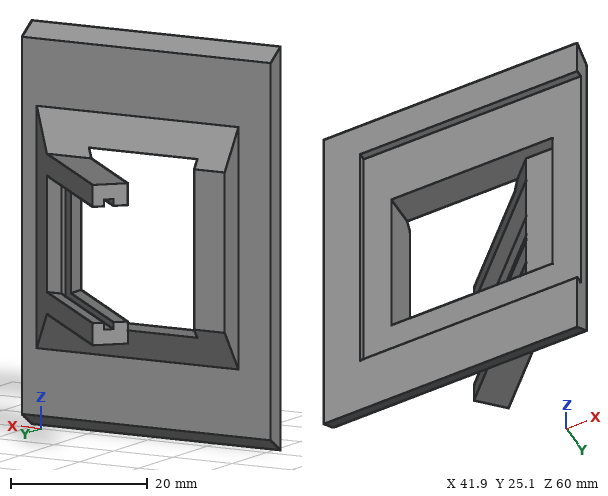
import cadquery as cq

plate_width = 41.9
plate_height = 60
plate_thickness = 3
bevel_height = 2.0
middle_z = plate_height / 2

recess_left = 6
recess_bottom = 10.5
recess_top = 54
recess_depth = 1.15

total_depth = 25.15
block_left = 5.4
block_back = 7.0
block_base_height = 36
block_crest_height = 23.8

window_left = 10.55
window_right = 37.2
window_height = 26.5

arm_outer_sum = 42.35
arm_inner_sum = 34.85
arm_outer_span = block_crest_height
arm_inner_span = 17.3
arm_tip_step = (arm_outer_sum - arm_inner_sum) / 2

slot_inner_sum = 37.9
slot_outer_sum = 39.9
groove_depth = 1.0
slot_span = arm_inner_span + 2 * groove_depth
slot_floor = 4.0


def z_prism(points, height):
    """Extrude an XY outline symmetrically about the middle height."""
    return cq.Workplane("XY").workplane(offset=middle_z).polyline(points).close().extrude(height / 2, both=True)


def box_between(x_range, y_range, z_range):
    """Box spanning the given ranges."""
    sizes = [end - start for start, end in (x_range, y_range, z_range)]
    corner = (x_range[0], y_range[0], z_range[0])
    return cq.Workplane("XY").box(*sizes, centered=False).translate(corner)


def centered_range(height):
    """Z range of the given height about the middle."""
    return (middle_z - height / 2, middle_z + height / 2)


def leaning_band(inner_sum, outer_sum, bottom_y, top_y):
    """XY outline between two 45 degree planes, flat at the bottom and square at its top end."""
    step = (outer_sum - inner_sum) / 2
    return [
        (inner_sum - bottom_y, bottom_y),
        (outer_sum - bottom_y, bottom_y),
        (outer_sum - top_y, top_y),
        (inner_sum - top_y + step, top_y - step),
    ]


def make_plate():
    profile = [
        (0, 0),
        (0, plate_height),
        (plate_thickness, plate_height - bevel_height),
        (plate_thickness, bevel_height),
    ]
    plate = cq.Workplane("YZ").polyline(profile).close().extrude(plate_width)
    recess = box_between((recess_left, plate_width), (0, recess_depth), (recess_bottom, recess_top))
    window = box_between((window_left, window_right), (0, plate_thickness), centered_range(window_height))
    return plate.cut(recess).cut(window)


def make_block():
    base_bottom, base_top = centered_range(block_base_height)
    crest_bottom, crest_top = centered_range(block_crest_height)
    flanks = [
        (plate_thickness, base_bottom),
        (plate_thickness, base_top),
        (block_back, crest_top),
        (block_back, crest_bottom),
    ]
    block = cq.Workplane("YZ").workplane(offset=block_left).polyline(flanks).close()
    block = block.extrude(arm_outer_sum - block_left)
    leaning_end = [
        (block_left, plate_thickness),
        (arm_outer_sum - plate_thickness, plate_thickness),
        (arm_outer_sum - block_back, block_back),
        (block_left, block_back),
    ]
    block = block.intersect(z_prism(leaning_end, block_base_height))
    opening = [
        (window_left, plate_thickness),
        (arm_inner_sum - plate_thickness, plate_thickness),
        (arm_inner_sum - block_back, block_back),
        (window_left, block_back),
    ]
    return block.cut(z_prism(opening, window_height))


def make_arms():
    outline = leaning_band(arm_inner_sum, arm_outer_sum, plate_thickness, total_depth)
    return z_prism(outline, arm_outer_span)


def make_gap():
    """Space between the arms, above the crossbar that joins their feet."""
    crossbar_left = arm_inner_sum - plate_thickness
    above_crossbar = box_between((0, plate_width), (block_back, total_depth), centered_range(arm_inner_span))
    beside_crossbar = box_between(
        (window_left, crossbar_left), (plate_thickness, total_depth), centered_range(arm_inner_span)
    )
    return above_crossbar.union(beside_crossbar)


def make_panel_slot():
    slot_top = total_depth + arm_tip_step
    return z_prism(leaning_band(slot_inner_sum, slot_outer_sum, slot_floor, slot_top), slot_span)


result = make_plate().union(make_block()).union(make_arms())
result = result.cut(make_gap()).cut(make_panel_slot())